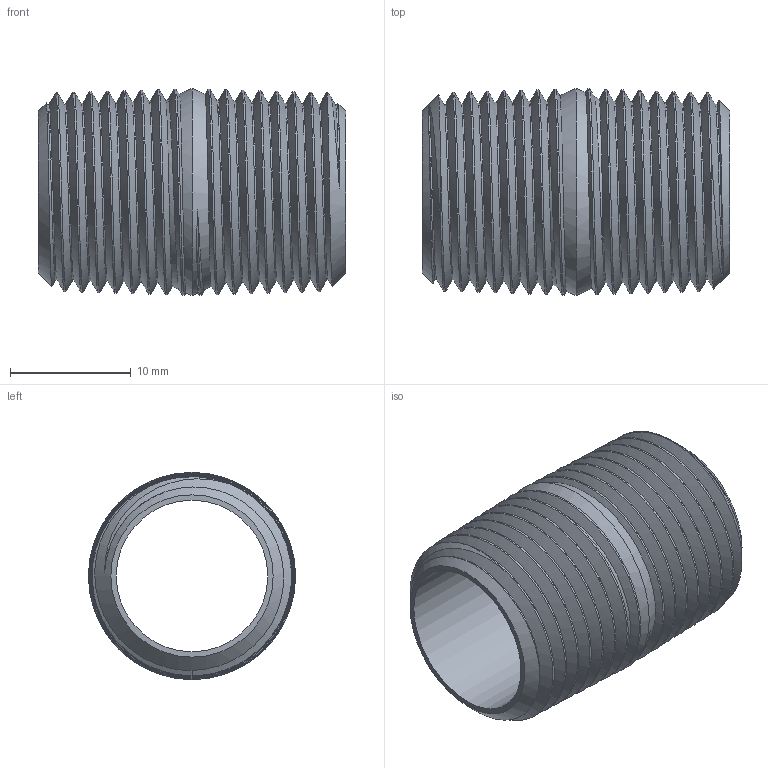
import cadquery as cq
import math

length = 25.4
bore_diameter = 12.53
outer_diameter = 17.14
end_face_diameter = 13.42
taper = 1 / 32
chamfer_angle = 45
ridge_slope_angle = 25

pitch = 1.4
thread_depth = 0.96
flank_angle = 30
crest_flat = 0.15
tooth_embed = 0.06
runout_turns = 0.25
runout_drop = 0.22

half_length = length / 2
bore_radius = bore_diameter / 2
outer_radius = outer_diameter / 2
end_face_radius = end_face_diameter / 2
root_radius = outer_radius - thread_depth
half_tooth_width = crest_flat / 2 + (thread_depth + tooth_embed) * math.tan(math.radians(flank_angle))


def revolve_about_x(points):
    """Full ring from an outline given as (x, radius) points."""
    return cq.Workplane("XY").polyline(points).close().revolve(360, (0, 0, 0), (1, 0, 0))


def make_body():
    """Hollow double cone at thread root level with the ridge around its middle."""
    end_root_radius = root_radius - taper * half_length
    ridge_slope = math.tan(math.radians(ridge_slope_angle))
    ridge_half_width = thread_depth / (ridge_slope - taper)
    ridge_foot_radius = root_radius - taper * ridge_half_width
    return revolve_about_x([
        (-half_length, bore_radius),
        (half_length, bore_radius),
        (half_length, end_root_radius),
        (ridge_half_width, ridge_foot_radius),
        (0, outer_radius),
        (-ridge_half_width, ridge_foot_radius),
        (-half_length, end_root_radius),
    ])


def helix_edge(radius, start, turns, slope):
    """Conical helix about Z starting on +X at the given height; slope is radius gained per height."""
    cone_angle = math.atan(slope)
    slant_pitch = pitch / math.cos(cone_angle)
    helix = cq.Wire.makeHelix(slant_pitch, turns * slant_pitch, radius, angle=math.degrees(cone_angle))
    return helix.translate(cq.Vector(0, 0, start))


def tooth_corners(crest_x, crest_radius, turns, crest_slope):
    """Four corner helices of a stretch of tooth."""
    base_radius = root_radius + taper * crest_x - tooth_embed
    return [
        helix_edge(base_radius, crest_x - half_tooth_width, turns, taper),
        helix_edge(crest_radius, crest_x - crest_flat / 2, turns, crest_slope),
        helix_edge(crest_radius, crest_x + crest_flat / 2, turns, crest_slope),
        helix_edge(base_radius, crest_x + half_tooth_width, turns, taper),
    ]


def section_face(corners, end):
    """Flat face across the tooth at the start (0) or finish (1) of its corner helices."""
    points = [corner.positionAt(end) for corner in corners]
    return cq.Face.makeFromWires(cq.Wire.makePolygon(points, close=True))


def make_left_thread():
    """Right-handed tooth on the -X half, its crest sinking into the ridge at the end."""
    full_turns = math.ceil(half_length / pitch)
    full_end_x = -pitch / 2
    start_x = full_end_x - full_turns * pitch
    full_crest_radius = outer_radius + taper * full_end_x
    runout_slope = -runout_drop / (runout_turns * pitch)

    stretches = []
    for turn in range(full_turns):
        crest_x = start_x + turn * pitch
        stretches.append(tooth_corners(crest_x, outer_radius + taper * crest_x, 1, taper))
    stretches.append(tooth_corners(full_end_x, full_crest_radius, runout_turns, runout_slope))

    faces = [section_face(stretches[0], 0), section_face(stretches[-1], 1)]
    for corners in stretches:
        for corner, next_corner in zip(corners, corners[1:] + corners[:1]):
            faces.append(cq.Face.makeRuledSurface(corner, next_corner))
    tooth = cq.Workplane(cq.Solid.makeSolid(cq.Shell.makeShell(faces)))
    return tooth.rotate((0, 0, 0), (0, 1, 0), 90)


def make_chamfered_envelope():
    """Tube between the bore and the outer diameter, chamfered at both ends."""
    chamfer_height = outer_radius - end_face_radius
    chamfer_length = chamfer_height / math.tan(math.radians(chamfer_angle))
    shoulder_x = half_length - chamfer_length
    return revolve_about_x([
        (-half_length, bore_radius),
        (half_length, bore_radius),
        (half_length, end_face_radius),
        (shoulder_x, outer_radius),
        (-shoulder_x, outer_radius),
        (-half_length, end_face_radius),
    ])


left_thread = make_left_thread()
right_thread = left_thread.rotate((0, 0, 0), (0, 0, 1), 180)

result = make_body().union(left_thread).union(right_thread).intersect(make_chamfered_envelope())